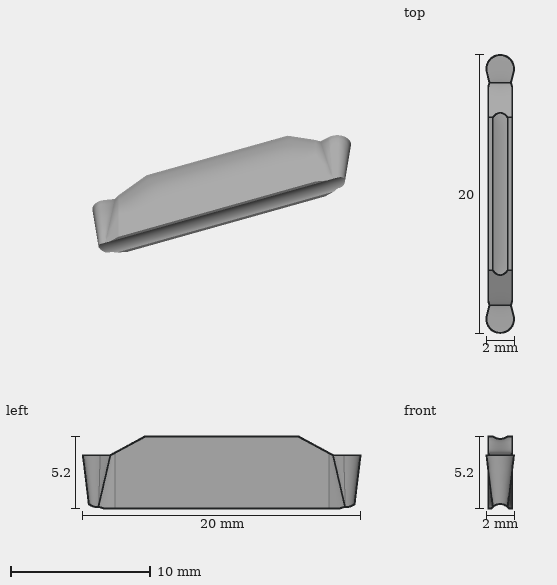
import cadquery as cq
import math


overall_length = 20.0
overall_height = 5.2

blade_width = 1.74
blade_flat_end = 7.7
side_relief_angle = 16.4
blade_tip_end = 8.9
ridge_half_length = 5.5

nose_radius = 1.0
cutting_height = 3.85
clearance_angle = 7.0
flank_angle = 14.0
neck_end = 8.0
nose_root = 7.0

top_groove_width = 1.05
top_groove_depth = 0.18
bottom_groove_width = 1.28
bottom_groove_depth = 0.32

half_length = overall_length / 2
half_width = blade_width / 2
nose_center = half_length - nose_radius
tip_inset = (blade_tip_end - blade_flat_end) * math.tan(math.radians(side_relief_angle))
tip_half_width = half_width - tip_inset


def make_blade():
    """Blade with relieved ends, topped by a ridge that ramps down to the cutting faces."""
    plan = (
        cq.Workplane("XY")
        .moveTo(half_width, -blade_flat_end)
        .lineTo(half_width, blade_flat_end)
        .lineTo(tip_half_width, blade_tip_end)
        .lineTo(-tip_half_width, blade_tip_end)
        .lineTo(-half_width, blade_flat_end)
        .lineTo(-half_width, -blade_flat_end)
        .lineTo(-tip_half_width, -blade_tip_end)
        .lineTo(tip_half_width, -blade_tip_end)
        .close()
        .extrude(overall_height)
    )
    side_profile = (
        cq.Workplane("YZ")
        .moveTo(-half_length, 0)
        .lineTo(half_length, 0)
        .lineTo(half_length, cutting_height)
        .lineTo(neck_end, cutting_height)
        .lineTo(ridge_half_length, overall_height)
        .lineTo(-ridge_half_length, overall_height)
        .lineTo(-neck_end, cutting_height)
        .lineTo(-half_length, cutting_height)
        .close()
        .extrude(half_width, both=True)
    )
    return plan.intersect(side_profile)


def nose_outline(workplane, radius):
    """Round of the given radius with straight flanks tangent to it, running back into the blade."""
    flank = math.radians(flank_angle)
    tangent_x = radius * math.cos(flank)
    tangent_y = nose_center - radius * math.sin(flank)
    root_x = tangent_x - (tangent_y - nose_root) * math.tan(flank)
    return (
        workplane.moveTo(root_x, nose_root)
        .lineTo(tangent_x, tangent_y)
        .threePointArc((0, nose_center + radius), (-tangent_x, tangent_y))
        .lineTo(-root_x, nose_root)
        .close()
    )


def make_nose():
    """Nose at the +Y end, narrowing downwards from the cutting edge by the clearance angle."""
    base_radius = nose_radius - cutting_height * math.tan(math.radians(clearance_angle))
    base = nose_outline(cq.Workplane("XY"), base_radius)
    top = nose_outline(base.workplane(offset=cutting_height), nose_radius)
    return top.loft(ruled=True)


def make_groove(width, depth, surface_z, inward):
    """Full-length round groove cutter; inward is -1 to cut downwards and +1 to cut upwards."""
    radius = (width**2 / 4 + depth**2) / (2 * depth)
    center_z = surface_z + inward * (depth - radius)
    return (
        cq.Workplane("XZ")
        .center(0, center_z)
        .circle(radius)
        .extrude(half_length, both=True)
    )


nose = make_nose()
opposite_nose = nose.mirror("XZ")
top_groove = make_groove(top_groove_width, top_groove_depth, overall_height, -1)
bottom_groove = make_groove(bottom_groove_width, bottom_groove_depth, 0, 1)

result = make_blade().union(nose).union(opposite_nose).cut(top_groove).cut(bottom_groove)